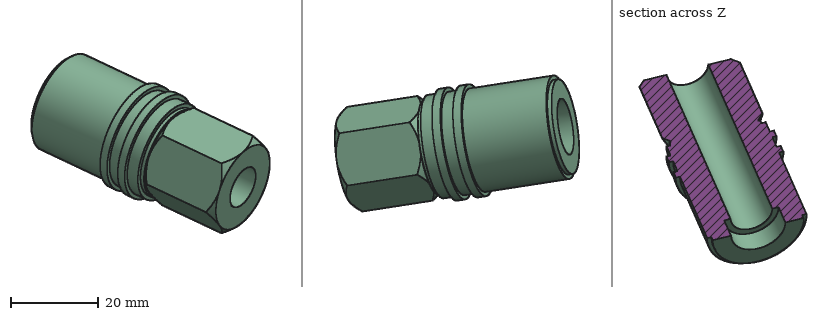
import cadquery as cq
import math

total_length = 52.0
collar_width = 1.0
sleeve_length = 30.0
ring_width = 2.0
first_ring_start = 21.0
second_ring_start = 26.0
counterbore_depth = 5.0

collar_diameter = 22.0
sleeve_diameter = 24.0
ring_diameter = 26.0
bore_diameter = 10.0
counterbore_diameter = 13.0

hex_across_flats = 21.0
hex_across_corners = hex_across_flats / math.cos(math.pi / 6)
hex_corner_chamfer = (hex_across_corners - hex_across_flats) / 2

sleeve_start = collar_width
sleeve_end = sleeve_start + sleeve_length
hex_start = sleeve_end + collar_width
hex_length = total_length - hex_start


def cylinder(start, length, diameter):
    """Solid cylinder on the X axis, beginning at X = start."""
    return cq.Workplane("YZ", origin=(start, 0, 0)).circle(diameter / 2).extrude(length)


def wrench_hex():
    """Hexagon with two flats facing +Z and -Z, its corners turned off at 45 degrees on both ends."""
    prism = (
        cq.Workplane("YZ", origin=(hex_start, 0, 0))
        .polygon(6, hex_across_corners)
        .extrude(hex_length)
    )
    corner_turning = (
        cylinder(hex_start, hex_length, hex_across_corners)
        .faces("<X or >X")
        .chamfer(hex_corner_chamfer)
    )
    return prism.intersect(corner_turning)


body = cylinder(0, hex_start, collar_diameter)
body = body.union(cylinder(sleeve_start, sleeve_length, sleeve_diameter))

for ring_start in (first_ring_start, second_ring_start):
    body = body.union(cylinder(ring_start, ring_width, ring_diameter))

body = body.union(wrench_hex())

body = body.cut(cylinder(0, total_length, bore_diameter))
body = body.cut(cylinder(0, counterbore_depth, counterbore_diameter))

result = body